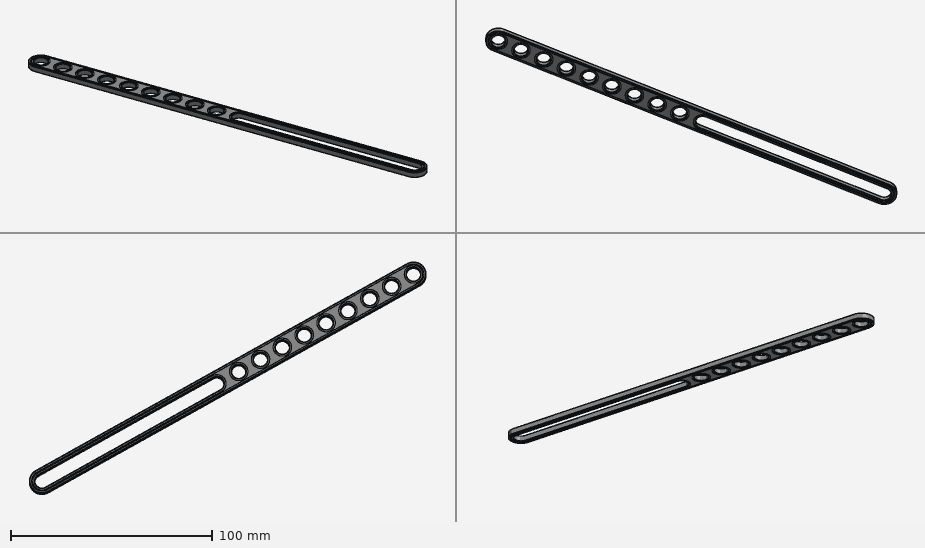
import cadquery as cq

pitch = 12.5
length_in_pitches = 18
hole_count = 9
hole_diameter = 7.0
rim_diameter = 9.2
edge_chamfer = 0.3
recess_depth = 0.2

width = pitch
length = length_in_pitches * pitch
thickness = pitch / 4
rim_width = (rim_diameter - hole_diameter) / 2
first_hole_x = -length / 2 + width / 2
slot_start_x = first_hole_x + hole_count * pitch
slot_end_x = length / 2 - width / 2


def rounded_bar(start_x, end_x, bar_width, height):
    """Round-ended bar standing on Z = 0, between two end centres on the X axis."""
    span = end_x - start_x
    middle_x = (start_x + end_x) / 2
    return cq.Workplane("XY").center(middle_x, 0).slot2D(span + bar_width, bar_width).extrude(height)


def hole_row(diameter, height):
    """Cylinders standing on Z = 0 at every hole position."""
    centres = [(first_hole_x + i * pitch, 0) for i in range(hole_count)]
    return cq.Workplane("XY").pushPoints(centres).circle(diameter / 2).extrude(height)


def make_strip():
    """Full-height strip with its holes and slot, every rim edge chamfered."""
    strip = rounded_bar(first_hole_x, slot_end_x, width, thickness)
    strip = strip.cut(hole_row(hole_diameter, thickness))
    strip = strip.cut(rounded_bar(slot_start_x, slot_end_x, hole_diameter, thickness))
    return strip.faces("|Z").edges().chamfer(edge_chamfer)


def make_recess():
    """Shallow pocket volume that leaves rims along the outline, the holes and the slot."""
    recess = rounded_bar(first_hole_x, slot_end_x, width - 2 * rim_width, recess_depth)
    recess = recess.cut(hole_row(rim_diameter, recess_depth))
    return recess.cut(rounded_bar(slot_start_x, slot_end_x, rim_diameter, recess_depth))


def recess_faces(strip):
    """Sink the web on the bottom and top faces."""
    recess = make_recess()
    for base_z in (0, thickness - recess_depth):
        strip = strip.cut(recess.translate((0, 0, base_z)))
    return strip


result = recess_faces(make_strip())